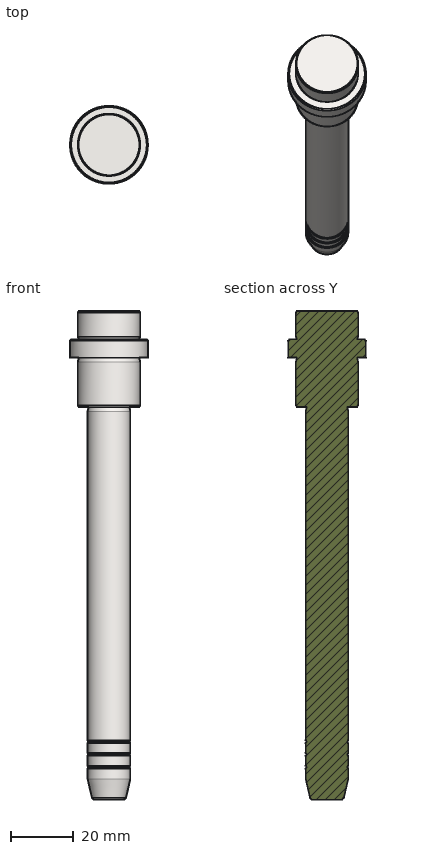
import cadquery as cq

length = 156.0
head_radius = 10.0
flange_radius = 12.5
shaft_radius = 6.9

flange_top = 147.0
flange_bottom = 141.0
collar_bottom = 125.3
taper_top = 6.7

edge_height = 0.6
edge_inset = 0.3
flange_chamfer = 0.5

relief_depth = 0.3
head_relief_height = 0.8
collar_relief_height = 1.2
neck_height = 1.2

tip_radius = 5.5
tip_chamfer = 0.6

groove_count = 3
lowest_groove = 10.5
groove_pitch = 4.0
groove_width = 1.0
groove_depth = 0.3


def revolve_profile(points):
    """Turn a closed (radius, height) outline about the Z axis."""
    return cq.Workplane("XZ").polyline(points).close().revolve(360, (0, 0, 0), (0, 1, 0))


def make_pin():
    """Shouldered pin without its ring grooves, outlined from tip to head."""
    shaft = [
        (0, 0),
        (tip_radius - tip_chamfer, 0),
        (tip_radius, tip_chamfer),
        (shaft_radius, taper_top),
        (shaft_radius, collar_bottom - neck_height),
        (shaft_radius - relief_depth, collar_bottom),
    ]
    collar = [
        (head_radius - edge_inset, collar_bottom),
        (head_radius, collar_bottom + edge_height),
        (head_radius, flange_bottom - collar_relief_height),
        (head_radius - relief_depth, flange_bottom),
    ]
    flange = [
        (flange_radius, flange_bottom),
        (flange_radius, flange_top - flange_chamfer),
        (flange_radius - flange_chamfer, flange_top),
    ]
    head = [
        (head_radius - relief_depth, flange_top),
        (head_radius, flange_top + head_relief_height),
        (head_radius, length - edge_height),
        (head_radius - edge_inset, length),
        (0, length),
    ]
    return revolve_profile(shaft + collar + flange + head)


def ring_groove(height):
    """Diamond-section ring whose inner half cuts a V into the shaft."""
    return revolve_profile([
        (shaft_radius - groove_depth, height),
        (shaft_radius, height + groove_width / 2),
        (shaft_radius + groove_depth, height),
        (shaft_radius, height - groove_width / 2),
    ])


result = make_pin()
for index in range(groove_count):
    result = result.cut(ring_groove(lowest_groove + index * groove_pitch))